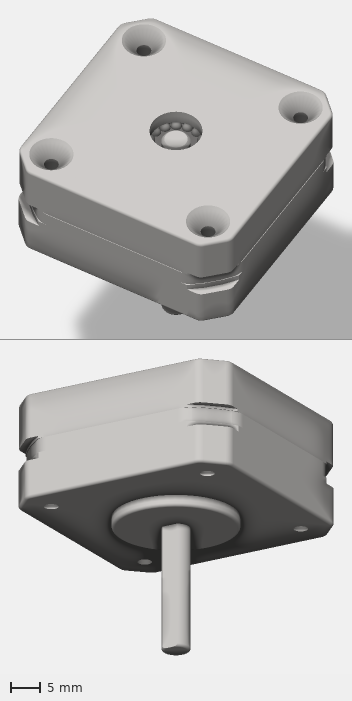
import cadquery as cq

housing_width = 42.3
cover_inset = 0.1
cover_width = housing_width - 2 * cover_inset
housing_height = 19.0
corner_cut = 4.0
corner_blend = 1.9
cover_edge_fillet = 0.5
flange_edge_fillet = 0.5

relief_diameter = 51.45
relief_bottom_z = 6.85
stator_bottom_z = 7.92
seam_z = 10.5
relief_top_z = 10.9
stator_diameter = 51.2
stator_corner_fillet = 3.72

boss_diameter = 22.0
boss_height = 2.0
boss_edge_fillet = 0.5

total_height = 43.3
shaft_diameter = 5.0
shaft_top_chamfer = 0.5
shaft_tip_fillet = 0.5
shaft_recess = 2.0
shaft_flat_depth = 0.48
shaft_tip_z = housing_height - total_height
shaft_top_z = housing_height - shaft_recess

screw_spacing = 31.0
screw_hole_diameter = 2.5
countersink_diameter = 7.55
countersink_angle = 90

opening_diameter = 9.0
opening_depth = 2.65
bearing_cavity_diameter = 10.8
ball_count = 15
ball_diameter = 1.95
ball_circle_diameter = 9.53
ball_center_z = housing_height - 3.8


def cut_corner_block(width, bottom_z, top_z):
    """Square block with 45 degree corners that blend into its sides."""
    return (
        cq.Workplane("XY", origin=(0, 0, bottom_z))
        .rect(width, width)
        .extrude(top_z - bottom_z)
        .edges("|Z")
        .chamfer(corner_cut)
        .edges("|Z")
        .fillet(corner_blend)
    )


def disc(diameter, bottom_z, top_z):
    return cq.Workplane("XY", origin=(0, 0, bottom_z)).circle(diameter / 2).extrude(top_z - bottom_z)


def round_corner_block(width, diameter, bottom_z, top_z):
    """Square block with its corners trimmed by a cylinder about the shaft axis."""
    square = cq.Workplane("XY", origin=(0, 0, bottom_z)).rect(width, width).extrude(top_z - bottom_z)
    return square.intersect(disc(diameter, bottom_z, top_z))


def make_housing():
    flange = cut_corner_block(housing_width, 0, relief_bottom_z)
    flange = flange.faces("<Z").edges().fillet(flange_edge_fillet)
    ledge = round_corner_block(housing_width, relief_diameter, relief_bottom_z, stator_bottom_z)
    stator = round_corner_block(housing_width, stator_diameter, stator_bottom_z, seam_z)
    stator = stator.edges("|Z").fillet(stator_corner_fillet)
    cover_base = round_corner_block(cover_width, relief_diameter, seam_z, relief_top_z)
    cover = cut_corner_block(cover_width, relief_top_z, housing_height)
    cover = cover.faces(">Z").edges().fillet(cover_edge_fillet)
    return flange.union(ledge).union(stator).union(cover_base).union(cover)


def make_boss():
    return disc(boss_diameter, -boss_height, 0).faces("<Z").edges().fillet(boss_edge_fillet)


def cut_screw_holes(body):
    return (
        body.faces(">Z")
        .workplane(origin=(0, 0, housing_height))
        .rect(screw_spacing, screw_spacing, forConstruction=True)
        .vertices()
        .cskHole(screw_hole_diameter, countersink_diameter, countersink_angle)
    )


def cut_bearing_opening(body):
    cavity_top_z = housing_height - opening_depth
    opening = disc(opening_diameter, ball_center_z, housing_height)
    cavity = disc(bearing_cavity_diameter, ball_center_z, cavity_top_z)
    return body.cut(opening).cut(cavity)


def make_balls():
    """Balls half sunk into the floor of the bearing cavity."""
    return (
        cq.Workplane("XY", origin=(0, 0, ball_center_z))
        .polarArray(ball_circle_diameter / 2, 0, 360, ball_count)
        .sphere(ball_diameter / 2)
    )


def make_shaft():
    shaft = disc(shaft_diameter, shaft_tip_z, shaft_top_z)
    shaft = shaft.faces(">Z").edges().chamfer(shaft_top_chamfer)
    shaft = shaft.faces("<Z").edges().fillet(shaft_tip_fillet)
    flat_length = -boss_height - shaft_tip_z
    flat = (
        cq.Workplane("XY", origin=(0, shaft_diameter / 2 - shaft_flat_depth, shaft_tip_z))
        .box(shaft_diameter, shaft_diameter, flat_length, centered=(True, False, False))
    )
    return shaft.cut(flat)


body = make_housing().union(make_boss())
body = cut_screw_holes(body)
body = cut_bearing_opening(body)
result = body.union(make_balls()).union(make_shaft())